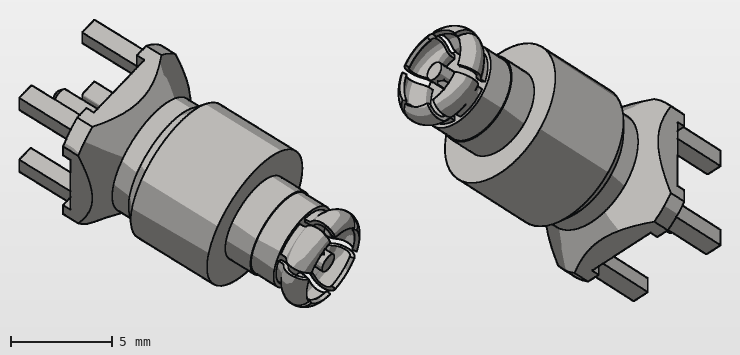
import cadquery as cq
import math


length = 17.24
pad_face = 3.43
flange_face = 3.9
flange_cone_start = 4.38
neck_end = 6.98
body_end = 12.36
step_end = 13.93
shoulder = 15.33

flange_width = 7.91
flange_corner_radius = 4.85
neck_radius = 3.25
body_radius = 3.88
step_radius = 2.4
nose_radius = 2.33
flange_cone_end = flange_cone_start + flange_corner_radius - neck_radius
body_start = neck_end + body_radius - neck_radius

leg_inner = 2.05
leg_width = 1.0
leg_corner_fillet = 0.15

pin_radius = 0.5
pin_chamfer = 0.2
contact_end = 16.95
window_width = 0.45
window_point = 16.7

collar_neck_radius = 2.12
collar_neck_end = 15.5
collar_wall = 0.24
bead_x = 16.46
bead_arc_radius = 0.83
bead_crest_radius = 2.67
bead_center_radius = bead_crest_radius - bead_arc_radius
slot_count = 6
slot_width = 0.4


def make_barrel():
    profile = [
        (pad_face, 0),
        (pad_face, flange_corner_radius),
        (flange_cone_start, flange_corner_radius),
        (flange_cone_end, neck_radius),
        (neck_end, neck_radius),
        (body_start, body_radius),
        (body_end, body_radius),
        (body_end, step_radius),
        (step_end, step_radius),
        (step_end, nose_radius),
        (shoulder, nose_radius),
        (shoulder, 0),
    ]
    turned = cq.Workplane("XY").polyline(profile).close().revolve(360, (0, 0, 0), (1, 0, 0))
    square = cq.Workplane("YZ").rect(flange_width, flange_width).extrude(length)
    return turned.intersect(square)


def make_corner_columns(width, x_start, x_end):
    """Four square columns along X whose innermost edges are rounded."""
    center = leg_inner + width / 2
    columns = cq.Workplane("XY")
    for y_side in (-1, 1):
        for z_side in (-1, 1):
            column = (
                cq.Workplane("YZ", origin=(x_start, y_side * center, z_side * center))
                .rect(width, width)
                .extrude(x_end - x_start)
            )
            inner_edge = cq.selectors.NearestToPointSelector(
                ((x_start + x_end) / 2, y_side * leg_inner, z_side * leg_inner)
            )
            columns = columns.add(column.edges(inner_edge).fillet(leg_corner_fillet))
    return columns.combine()


def make_standoff_recess():
    """Cross-shaped recess that leaves a raised pad in each flange corner."""
    recess = cq.Workplane("YZ", origin=(pad_face, 0, 0)).rect(flange_width, flange_width)
    recess = recess.extrude(flange_face - pad_face)
    return recess.cut(make_corner_columns(flange_width, pad_face, flange_face))


def make_pin():
    pin = cq.Workplane("YZ").circle(pin_radius).extrude(flange_face)
    return pin.faces("<X").chamfer(pin_chamfer)


def make_contact():
    """Inner contact with a pointed window through it along Z."""
    contact = cq.Workplane("YZ", origin=(shoulder, 0, 0)).circle(pin_radius).extrude(contact_end - shoulder)
    half = window_width / 2
    window = (
        cq.Workplane("XY")
        .polyline([
            (shoulder, -half),
            (window_point - half, -half),
            (window_point, 0),
            (window_point - half, half),
            (shoulder, half),
        ])
        .close()
        .extrude(pin_radius, both=True)
    )
    return contact.cut(window)


def make_collar():
    """Thin revolved wall: straight neck, hollow arc, then a bead arc out to the tip."""
    run = bead_x - collar_neck_end
    drop = collar_neck_radius - bead_center_radius
    hollow_arc_radius = (run**2 + drop**2 - bead_arc_radius**2) / (2 * (bead_arc_radius - drop))
    hollow_center_radius = collar_neck_radius + hollow_arc_radius
    join_angle = math.atan2(hollow_center_radius - bead_center_radius, -run)
    tip_angle = math.acos((length - bead_x) / bead_arc_radius)

    def on_bead(angle, depth):
        reach = bead_arc_radius - depth
        return bead_x + reach * math.cos(angle), bead_center_radius + reach * math.sin(angle)

    def on_hollow(angle, depth):
        reach = hollow_arc_radius + depth
        return collar_neck_end + reach * math.cos(angle), hollow_center_radius + reach * math.sin(angle)

    neck_angle = -math.pi / 2
    hollow_middle = (neck_angle + join_angle - math.pi) / 2
    bead_middle = math.pi / 2
    wall = (
        cq.Workplane("XY")
        .moveTo(shoulder, collar_neck_radius)
        .lineTo(collar_neck_end, collar_neck_radius)
        .threePointArc(on_hollow(hollow_middle, 0), on_bead(join_angle, 0))
        .threePointArc(on_bead(bead_middle, 0), on_bead(tip_angle, 0))
        .lineTo(*on_bead(tip_angle, collar_wall))
        .threePointArc(on_bead(bead_middle, collar_wall), on_bead(join_angle, collar_wall))
        .threePointArc(on_hollow(hollow_middle, collar_wall), on_hollow(neck_angle, collar_wall))
        .lineTo(shoulder, collar_neck_radius - collar_wall)
        .close()
    )
    collar = wall.revolve(360, (0, 0, 0), (1, 0, 0))

    slot_depth = 2 * bead_crest_radius
    slot = (
        cq.Workplane("YZ", origin=(shoulder, 0, slot_depth / 2))
        .rect(slot_width, slot_depth)
        .extrude(length - shoulder)
    )
    for index in range(slot_count):
        collar = collar.cut(slot.rotate((0, 0, 0), (1, 0, 0), index * 360 / slot_count))
    return collar


result = (
    make_barrel()
    .cut(make_standoff_recess())
    .union(make_corner_columns(leg_width, 0, flange_face))
    .union(make_pin())
    .union(make_contact())
    .union(make_collar())
)